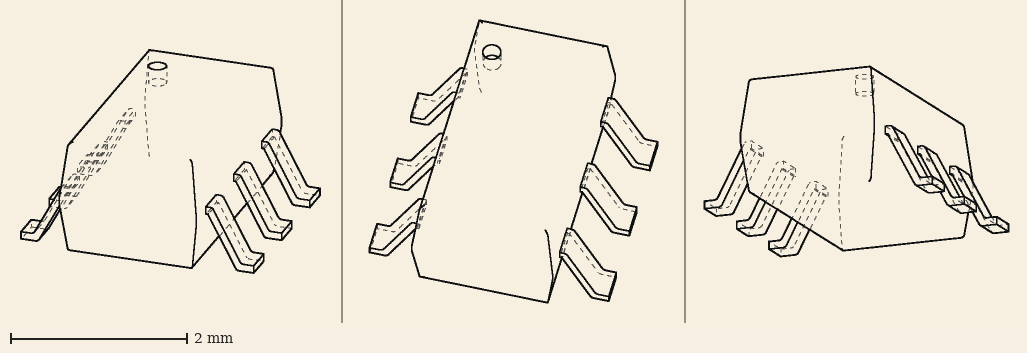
import cadquery as cq
import math

BODY_LENGTH = 2.9
BODY_WIDTH = 1.65
PACKAGE_SPAN = 2.8
PACKAGE_HEIGHT = 1.4
STANDOFF = 0.05

LEADS_PER_SIDE = 3
LEAD_PITCH = 0.95
LEAD_WIDTH = 0.35
LEAD_THICKNESS = 0.09
LEAD_SLOPE = math.radians(61.9)
SHOULDER_LENGTH = 0.078
BEND_RADIUS = 0.05

BELT_TOP = 0.74
BELT_BOTTOM = BELT_TOP - LEAD_THICKNESS
TAPER_INSET = 0.078
BODY_FILLET = 0.05

MARK_DIAMETER = 0.205
MARK_DEPTH = 0.2
MARK_FROM_SIDE = 0.33
MARK_FROM_END = 0.5


def tapered_half(base_z, height):
    """Half of the body, narrowing from the belt to its outer face; a negative height points down."""
    return (
        cq.Workplane("XY", origin=(0, 0, base_z))
        .rect(BODY_WIDTH, BODY_LENGTH)
        .workplane(offset=height)
        .rect(BODY_WIDTH - 2 * TAPER_INSET, BODY_LENGTH - 2 * TAPER_INSET)
        .loft(ruled=True)
    )


def make_body():
    belt = (
        cq.Workplane("XY", origin=(0, 0, BELT_BOTTOM))
        .rect(BODY_WIDTH, BODY_LENGTH)
        .extrude(BELT_TOP - BELT_BOTTOM)
    )
    upper_half = tapered_half(BELT_TOP, PACKAGE_HEIGHT - BELT_TOP)
    lower_half = tapered_half(BELT_BOTTOM, STANDOFF - BELT_BOTTOM)
    rounded = (
        belt.union(upper_half)
        .union(lower_half)
        .faces("<Z or >Z")
        .edges()
        .fillet(BODY_FILLET)
    )
    mark = (
        cq.Workplane("XY", origin=(0, 0, PACKAGE_HEIGHT))
        .center(MARK_FROM_SIDE - BODY_WIDTH / 2, BODY_LENGTH / 2 - MARK_FROM_END)
        .circle(MARK_DIAMETER / 2)
        .extrude(-MARK_DEPTH)
    )
    return rounded.cut(mark)


def make_lead(center_y):
    """Lead on the +X side, running from the belt down to its foot."""
    root_x = BODY_WIDTH / 2
    tip_x = PACKAGE_SPAN / 2
    shoulder_x = root_x + SHOULDER_LENGTH
    shoulder_bottom = BELT_TOP - LEAD_THICKNESS
    heel_x = shoulder_x + shoulder_bottom / math.tan(LEAD_SLOPE)
    underside_shift = LEAD_THICKNESS * math.tan(LEAD_SLOPE / 2)
    profile = [
        (root_x, BELT_TOP),
        (shoulder_x, BELT_TOP),
        (heel_x, LEAD_THICKNESS),
        (tip_x, LEAD_THICKNESS),
        (tip_x, 0),
        (heel_x - underside_shift, 0),
        (shoulder_x - underside_shift, shoulder_bottom),
        (root_x, shoulder_bottom),
    ]
    bar = (
        cq.Workplane("XZ", origin=(0, center_y + LEAD_WIDTH / 2, 0))
        .polyline(profile)
        .close()
        .extrude(LEAD_WIDTH)
    )
    rounded_corners = [
        (shoulder_x, BELT_TOP),
        (heel_x, LEAD_THICKNESS),
        (heel_x - underside_shift, 0),
    ]
    for corner_x, corner_z in rounded_corners:
        corner_edge = cq.selectors.NearestToPointSelector((corner_x, center_y, corner_z))
        bar = bar.edges("|Y").edges(corner_edge).fillet(BEND_RADIUS)
    return bar


body = make_body()
leads = []
for index in range(LEADS_PER_SIDE):
    lead_y = (index - (LEADS_PER_SIDE - 1) / 2) * LEAD_PITCH
    right_lead = make_lead(lead_y)
    left_lead = right_lead.mirror("YZ")
    leads += [right_lead.val(), left_lead.val()]

result = cq.Compound.makeCompound([body.val(), *leads])